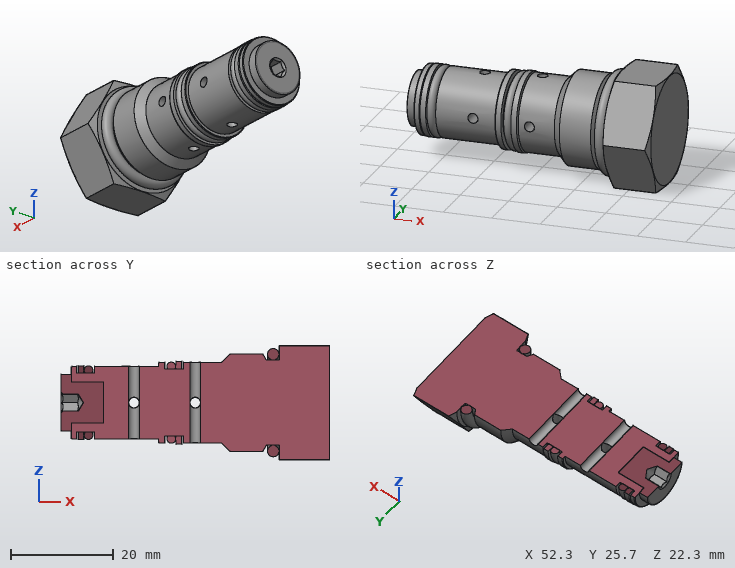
import cadquery as cq
import math

BODY_START_X = 2.0
FRONT_BARREL_DIA = 14.25
STEP_X = 19.0
REAR_BARREL_DIA = 15.8
EDGE_CHAMFER = 0.15
SHOULDER_X = 31.3
COLLAR_DIA = 19.05
COLLAR_END_X = 39.35
RELIEF_ANGLE = 30.0
NECK_DIA = 16.65

HEX_X = 42.5
HEX_END_X = 52.3
HEX_FLATS = 22.25
HEX_FACE_DIA = 22.1
HEX_CHAMFER = 0.65

FRONT_GROOVE_X = 3.1
FRONT_GROOVE_WIDTH = 3.45
FRONT_GROOVE_DIA = 11.55
REAR_GROOVE_X = 20.25
REAR_GROOVE_WIDTH = 3.6
REAR_GROOVE_DIA = FRONT_GROOVE_DIA + REAR_BARREL_DIA - FRONT_BARREL_DIA

PORT_DIA = 2.05
PORT_XS = (14.25, 26.15)

PLUG_HEAD_DIA = 11.15
PLUG_CHAMFER_RADIAL = 0.25
PLUG_CHAMFER_AXIAL = 0.08
SHANK_DIA = 7.9
SHANK_LENGTH = 6.3
SOCKET_FLATS = 3.2
SOCKET_MOUTH_DIA = 4.1
SOCKET_DEPTH = 3.15
SOCKET_POINT_ANGLE = 118.0

SEAL_SECTION = 1.8
FRONT_SEAL_X = 5.4
FRONT_SEAL_DIA = 14.45
REAR_SEAL_X = 21.5
REAR_SEAL_DIA = 15.9
HEAD_SEAL_SECTION = 2.3
HEAD_SEAL_X = HEX_X - HEAD_SEAL_SECTION / 2
HEAD_SEAL_DIA = 21.2
BACKUP_WIDTH = 1.15
FRONT_BACKUP_DIA = 14.45
FRONT_BACKUP_X = FRONT_SEAL_X - SEAL_SECTION / 2 - BACKUP_WIDTH
REAR_BACKUP_DIA = 16.2
REAR_BACKUP_X = REAR_SEAL_X + SEAL_SECTION / 2


def corner_dia(flats):
    """Diameter over the corners of a hexagon of the given width across flats."""
    return flats / math.cos(math.pi / 6)


def spin(profile):
    """Revolve a closed (x, radius) profile a full turn about the X axis."""
    return profile.close().revolve(360, (0, 0, 0), (1, 0, 0))


def turned(points):
    """A turned shape with a straight-sided (x, radius) outline."""
    return spin(cq.Workplane("XY").polyline(points))


def make_ring(x, width, outer_dia, inner_dia):
    """A plain flat ring that starts at x."""
    face = cq.Workplane("YZ", origin=(x, 0, 0)).circle(outer_dia / 2).circle(inner_dia / 2)
    return face.extrude(width)


def hex_bar(x, length, flats):
    """A hexagonal bar with flats facing up and down and corners along Y."""
    return cq.Workplane("YZ", origin=(x, 0, 0)).polygon(6, corner_dia(flats)).extrude(length)


def make_hex_head():
    corner_radius = corner_dia(HEX_FLATS) / 2
    rounded_ends = turned([
        (HEX_X, 0),
        (HEX_X, HEX_FACE_DIA / 2),
        (HEX_X + HEX_CHAMFER, corner_radius),
        (HEX_END_X - HEX_CHAMFER, corner_radius),
        (HEX_END_X, HEX_FACE_DIA / 2),
        (HEX_END_X, 0),
    ])
    return hex_bar(HEX_X, HEX_END_X - HEX_X, HEX_FLATS).intersect(rounded_ends)


def make_stem():
    """The turned part of the body, with a 45 degree lead-in to the collar."""
    lead_in = (COLLAR_DIA - REAR_BARREL_DIA) / 2
    relief = (COLLAR_DIA - NECK_DIA) / 2 * math.tan(math.radians(RELIEF_ANGLE))
    return turned([
        (BODY_START_X, 0),
        (BODY_START_X, FRONT_BARREL_DIA / 2 - EDGE_CHAMFER),
        (BODY_START_X + EDGE_CHAMFER, FRONT_BARREL_DIA / 2),
        (STEP_X, FRONT_BARREL_DIA / 2),
        (STEP_X, REAR_BARREL_DIA / 2 - EDGE_CHAMFER),
        (STEP_X + EDGE_CHAMFER, REAR_BARREL_DIA / 2),
        (SHOULDER_X, REAR_BARREL_DIA / 2),
        (SHOULDER_X + lead_in, COLLAR_DIA / 2),
        (COLLAR_END_X, COLLAR_DIA / 2),
        (COLLAR_END_X + relief, NECK_DIA / 2),
        (HEX_X, NECK_DIA / 2),
        (HEX_X, 0),
    ])


def cut_ports(body):
    """Drill each port station right through the body along Y and along Z."""
    for x in PORT_XS:
        for plane in ("XY", "XZ"):
            hole = cq.Workplane(plane, origin=(x, 0, 0)).circle(PORT_DIA / 2)
            body = body.cut(hole.extrude(REAR_BARREL_DIA, both=True))
    return body


def make_body():
    body = make_stem().union(make_hex_head())
    body = body.cut(make_ring(FRONT_GROOVE_X, FRONT_GROOVE_WIDTH, COLLAR_DIA, FRONT_GROOVE_DIA))
    body = body.cut(make_ring(REAR_GROOVE_X, REAR_GROOVE_WIDTH, COLLAR_DIA, REAR_GROOVE_DIA))
    body = cut_ports(body)
    shank_hole = cq.Workplane("YZ", origin=(BODY_START_X, 0, 0)).circle(SHANK_DIA / 2).extrude(SHANK_LENGTH)
    return body.cut(shank_hole)


def make_socket():
    """A countersunk hex socket with a drill-point floor, opening at x = 0."""
    mouth_radius = SOCKET_MOUTH_DIA / 2
    flat_radius = SOCKET_FLATS / 2
    countersink_depth = mouth_radius - flat_radius
    point_length = mouth_radius / math.tan(math.radians(SOCKET_POINT_ANGLE / 2))
    drill = turned([
        (0, 0),
        (0, mouth_radius),
        (SOCKET_DEPTH, mouth_radius),
        (SOCKET_DEPTH + point_length, 0),
    ])
    countersink = turned([
        (0, 0),
        (0, mouth_radius),
        (countersink_depth, flat_radius),
        (countersink_depth, 0),
    ])
    return hex_bar(0, SOCKET_DEPTH + point_length, SOCKET_FLATS).intersect(drill).union(countersink)


def make_plug():
    plug = turned([
        (0, 0),
        (0, PLUG_HEAD_DIA / 2 - PLUG_CHAMFER_RADIAL),
        (PLUG_CHAMFER_AXIAL, PLUG_HEAD_DIA / 2),
        (BODY_START_X, PLUG_HEAD_DIA / 2),
        (BODY_START_X, SHANK_DIA / 2),
        (BODY_START_X + SHANK_LENGTH, SHANK_DIA / 2),
        (BODY_START_X + SHANK_LENGTH, 0),
    ])
    return plug.cut(make_socket())


def make_seal(x, outer_dia, section, seat_dia):
    """An O-ring centred at x, pressed flat on the inside where it lies on its seat."""
    section_radius = section / 2
    seat_radius = seat_dia / 2
    centre_height = outer_dia / 2 - section_radius - seat_radius
    half_flat = math.sqrt(section_radius**2 - centre_height**2)
    profile = (
        cq.Workplane("XY")
        .moveTo(x - half_flat, seat_radius)
        .threePointArc((x, outer_dia / 2), (x + half_flat, seat_radius))
    )
    return spin(profile)


body = make_body()
plug = make_plug()
front_seal = make_seal(FRONT_SEAL_X, FRONT_SEAL_DIA, SEAL_SECTION, FRONT_GROOVE_DIA)
rear_seal = make_seal(REAR_SEAL_X, REAR_SEAL_DIA, SEAL_SECTION, REAR_GROOVE_DIA)
head_seal = make_seal(HEAD_SEAL_X, HEAD_SEAL_DIA, HEAD_SEAL_SECTION, NECK_DIA)
front_backup = make_ring(FRONT_BACKUP_X, BACKUP_WIDTH, FRONT_BACKUP_DIA, FRONT_GROOVE_DIA)
rear_backup = make_ring(REAR_BACKUP_X, BACKUP_WIDTH, REAR_BACKUP_DIA, REAR_GROOVE_DIA)

result = cq.Compound.makeCompound([
    body.val(),
    plug.val(),
    front_seal.val(),
    rear_seal.val(),
    head_seal.val(),
    front_backup.val(),
    rear_backup.val(),
])